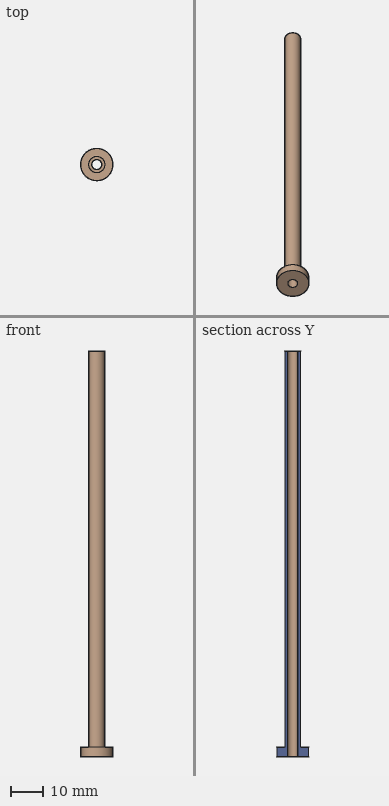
import cadquery as cq

total_length = 125.0
head_diameter = 10.0
head_height = 3.0
shank_diameter = 5.0
bore_diameter = 3.0
neck_fillet = 0.3

head_radius = head_diameter / 2
shank_radius = shank_diameter / 2
bore_radius = bore_diameter / 2

half_section = (
    cq.Workplane("XZ")
    .moveTo(bore_radius, 0)
    .lineTo(head_radius, 0)
    .lineTo(head_radius, head_height)
    .lineTo(shank_radius + neck_fillet, head_height)
    .radiusArc((shank_radius, head_height + neck_fillet), neck_fillet)
    .lineTo(shank_radius, total_length)
    .lineTo(bore_radius, total_length)
    .close()
)

result = half_section.revolve(360, (0, 0, 0), (0, 1, 0)).rotate((0, 0, 0), (0, 0, 1), 180)